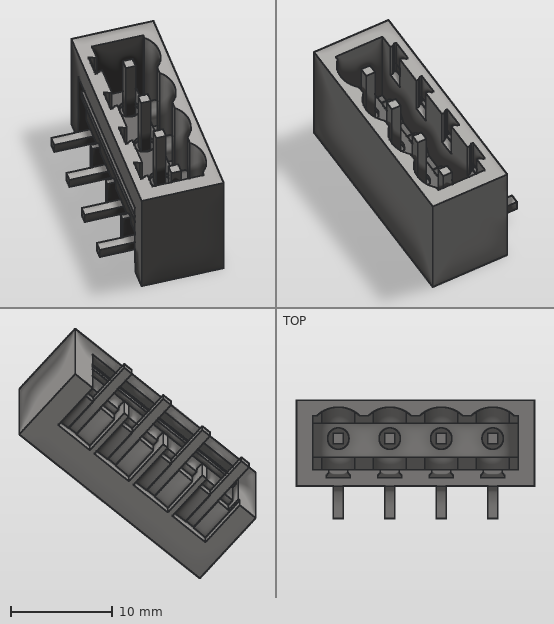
import cadquery as cq


POLE_COUNT = 4
PITCH = 5.08
POLE_XS = [(i - (POLE_COUNT - 1) / 2) * PITCH for i in range(POLE_COUNT)]
RIB_XS = [(left + right) / 2 for left, right in zip(POLE_XS, POLE_XS[1:])]

HOUSING_LENGTH = 23.52
HOUSING_DEPTH = 8.5
HOUSING_HEIGHT = 12.0

CAVITY_LENGTH = 20.3
CAVITY_FRONT = 1.62
CAVITY_BACK = 6.95
CAVITY_FLOOR = 3.27

SCALLOP_HALF_WIDTH = 2.15
SCALLOP_DEPTH = 0.87

SLOT_FLOOR = 7.85
SLOT_FRONT = 0.85
SLOT_MOUTH_WIDTH = 1.85
SLOT_WIDTH = 2.35
SLOT_NECK_LENGTH = 0.25
SLOT_FLARE_LENGTH = 0.3

BAR_FRONT = 2.85
BAR_BACK = 6.23
BAR_TOP = 4.7
PIN_RECESS_DIAMETER = 2.12
PIN_RECESS_DEPTH = 0.47

DOME_HALF_WIDTH = 1.65
DOME_FLANK_WIDTH = 0.38
DOME_FLANK_RISE = 0.59
DOME_HEIGHT = 1.27

WINDOW_LENGTH = 18.95
WINDOW_TOP = 8.85
PLATE_FRONT = SLOT_FRONT
PLATE_BOTTOM = 2.55
RIDGE_BOTTOM = 5.93
RIDGE_TOP = 6.73
RIDGE_DEPTH = 0.55

FLOOR_FRONT = 1.5
ARCH_TOP = 1.36
ARCH_SPRING = 1.15
UNDERSIDE_RIGHT = 9.67

RIB_WIDTH = 0.59
RIB_HEIGHT = 3.27

PIN_SIZE = 1.0
PIN_Y = 4.7
PIN_TOP = 11.12
PIN_REACH = 3.2
PIN_TAIL_TOP = PLATE_BOTTOM
PIN_BACK = PIN_Y + PIN_SIZE / 2


def block(x_range, y_range, z_range):
    """Axis-aligned box between the given limits."""
    spans = [high - low for low, high in (x_range, y_range, z_range)]
    corner = (x_range[0], y_range[0], z_range[0])
    return cq.Workplane().box(*spans, centered=False).translate(corner)


def centred(middle, width):
    """Limits of a span of the given width about its middle."""
    return middle - width / 2, middle + width / 2


def scallop(x):
    return (
        cq.Workplane("XY", origin=(x, CAVITY_BACK, CAVITY_FLOOR))
        .moveTo(-SCALLOP_HALF_WIDTH, 0)
        .threePointArc((0, SCALLOP_DEPTH), (SCALLOP_HALF_WIDTH, 0))
        .close()
        .extrude(HOUSING_HEIGHT - CAVITY_FLOOR)
    )


def dome(x):
    """Dome running from the front wall of the cavity to the deepest point of the scallop."""
    arc_half_width = DOME_HALF_WIDTH - DOME_FLANK_WIDTH
    length = CAVITY_BACK + SCALLOP_DEPTH - CAVITY_FRONT
    return (
        cq.Workplane("XZ", origin=(x, CAVITY_FRONT, CAVITY_FLOOR))
        .moveTo(-DOME_HALF_WIDTH, 0)
        .lineTo(-arc_half_width, DOME_FLANK_RISE)
        .threePointArc((0, DOME_HEIGHT), (arc_half_width, DOME_FLANK_RISE))
        .lineTo(DOME_HALF_WIDTH, 0)
        .close()
        .extrude(-length)
    )


def coding_slot(x):
    """Slot that widens from its mouth in the cavity towards the front face."""
    mouth = SLOT_MOUTH_WIDTH / 2
    wide = SLOT_WIDTH / 2
    neck_y = CAVITY_FRONT - SLOT_NECK_LENGTH
    flare_y = neck_y - SLOT_FLARE_LENGTH
    half_outline = [(mouth, CAVITY_FRONT), (mouth, neck_y), (wide, flare_y), (wide, SLOT_FRONT)]
    mirrored = [(-dx, y) for dx, y in reversed(half_outline)]
    points = [(x + dx, y) for dx, y in half_outline + mirrored]
    return (
        cq.Workplane("XY", origin=(0, 0, SLOT_FLOOR))
        .polyline(points)
        .close()
        .extrude(HOUSING_HEIGHT - SLOT_FLOOR)
    )


def pole_arch(x):
    """Arch-topped hollow below one pole, one pitch wide."""
    left, right = centred(x, PITCH)
    return (
        cq.Workplane("XZ")
        .moveTo(left, 0)
        .lineTo(left, ARCH_SPRING)
        .threePointArc((x, ARCH_TOP), (right, ARCH_SPRING))
        .lineTo(right, 0)
        .close()
        .extrude(-PIN_BACK)
    )


def pin(x):
    """Upright contact blade bent forward into a solder tail."""
    across = centred(x, PIN_SIZE)
    tail_bottom = PIN_TAIL_TOP - PIN_SIZE
    upright = block(across, centred(PIN_Y, PIN_SIZE), (tail_bottom, PIN_TOP))
    tail = block(across, (-PIN_REACH, PIN_BACK), (tail_bottom, PIN_TAIL_TOP))
    return upright.union(tail)


def pin_passage(x):
    """Square hole for the upright, and a slot open below for the tail."""
    across = centred(x, PIN_SIZE)
    hole = block(across, centred(PIN_Y, PIN_SIZE), (0, BAR_TOP))
    tail_slot = block(across, (0, PIN_BACK), (0, PIN_TAIL_TOP))
    return hole.union(tail_slot)


def plug_cavity():
    """Space cut from the top of the housing, less the bar and domes on its floor."""
    across = centred(0, CAVITY_LENGTH)
    cavity = block(across, (CAVITY_FRONT, CAVITY_BACK), (CAVITY_FLOOR, HOUSING_HEIGHT))
    for x in POLE_XS:
        cavity = cavity.union(scallop(x))
    for x in POLE_XS:
        cavity = cavity.cut(dome(x))
    cavity = cavity.cut(block(across, (BAR_FRONT, BAR_BACK), (CAVITY_FLOOR, BAR_TOP)))
    for x in POLE_XS:
        recess = cq.Workplane("XY", origin=(x, PIN_Y, BAR_TOP)).circle(PIN_RECESS_DIAMETER / 2)
        cavity = cavity.union(recess.extrude(-PIN_RECESS_DEPTH))
        cavity = cavity.union(coding_slot(x))
    return cavity


def front_window():
    """Window around the ridged plate, deeper below the plate."""
    across = centred(0, WINDOW_LENGTH)
    window = block(across, (0, PLATE_FRONT), (0, WINDOW_TOP))
    ridge = block(across, (PLATE_FRONT - RIDGE_DEPTH, PLATE_FRONT), (RIDGE_BOTTOM, RIDGE_TOP))
    undercut = block(across, (PLATE_FRONT, FLOOR_FRONT), (0, PLATE_BOTTOM))
    return window.cut(ridge).union(undercut)


def underside_hollow():
    """Row of arches, ending level with the window on the left and just past it on the right."""
    limits = block((-WINDOW_LENGTH / 2, UNDERSIDE_RIGHT), (0, PIN_BACK), (0, ARCH_TOP))
    arches = pole_arch(POLE_XS[0])
    for x in POLE_XS[1:]:
        arches = arches.union(pole_arch(x))
    return arches.intersect(limits)


def make_housing():
    body = block(centred(0, HOUSING_LENGTH), (0, HOUSING_DEPTH), (0, HOUSING_HEIGHT))
    body = body.cut(plug_cavity()).cut(front_window()).cut(underside_hollow())
    for x in RIB_XS:
        body = body.union(block(centred(x, RIB_WIDTH), (0, PIN_BACK), (0, ARCH_TOP)))
        body = body.union(block(centred(x, RIB_WIDTH), (0, FLOOR_FRONT), (0, RIB_HEIGHT)))
    for x in POLE_XS:
        body = body.cut(pin_passage(x))
    return body


housing = make_housing()
pins = [pin(x) for x in POLE_XS]

result = cq.Compound.makeCompound([housing.val(), *[p.val() for p in pins]])